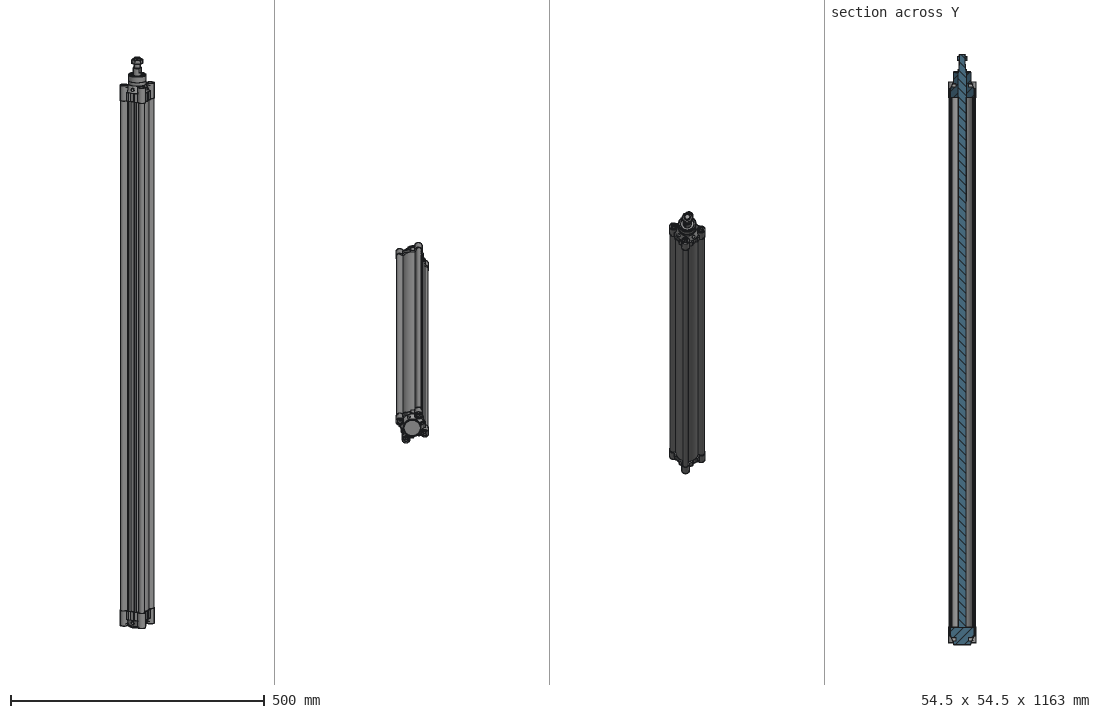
import cadquery as cq
import math


total_length = 1163.0
rear_collar_height = 4.0
cap_length = 31.0
front_face_below_tip = 54.0
rear_face_z = rear_collar_height
tube_start_z = rear_face_z + cap_length
front_face_z = total_length - front_face_below_tip
tube_end_z = front_face_z - cap_length

cap_width = 54.5
screw_pitch = 38.0
lobe_radius = 15.5 / 2
lobe_center = cap_width / 2 - lobe_radius
collar_diameter = 35.0
collar_chamfer = 1.5
boss_radius = 26.0
boss_groove_mouth_width = 12.4
boss_groove_floor_width = 6.4
boss_groove_depth = 2.0
boss_groove_mouth_x = math.sqrt(boss_radius**2 - (boss_groove_mouth_width / 2) ** 2)
boss_groove_floor_x = boss_groove_mouth_x - boss_groove_depth
cone_length = 13.5
cone_large_radius = boss_groove_floor_x
cone_small_radius = collar_diameter / 2

side_angles = (0, 90, 180, 270)
cushion_diameter = 6.2
cushion_from_face = 7.0
cushion_depth = 8.0
screw_thread_diameter = 4.92
screw_thread_depth = 16.0
screw_recess_diameter = 10.3
screw_recess_depth = 4.0

front_collar_height = 20.0
neck_height = 7.0
neck_diameter = 34.6
gland_recess_diameter = 26.0
gland_recess_depth = 2.0

bore_diameter = 40.0
tube_wall_radius = 22.9
rib_center = 20.8
rib_radius = 5.1
rib_web_width = 10.0
rail_radius = 25.0
rail_width = 17.8
groove_floor_radius = 21.4
groove_floor_width = 6.4
groove_mouth_width = 12.6
groove_flank_angle = 50.0

rod_diameter = 16.0
rod_thread_diameter = 12.0
rod_thread_length = 20.0
rod_thread_chamfer = 1.0
rod_shoulder_chamfer = 1.0
wrench_flats_width = 13.0
wrench_flats_end = 30.0
nut_across_flats = 19.0
nut_thickness = 8.0
nut_below_tip = 3.7
nut_corner_diameter = nut_across_flats / math.cos(math.pi / 6)


def cushion_hole(angle):
    """Radial cutter that sinks from the cone into one side of a cap."""
    cone_slope = (cone_large_radius - cone_small_radius) / cone_length
    floor_radius = cone_small_radius + cushion_from_face * cone_slope - cushion_depth
    cutter = (
        cq.Workplane("YZ", origin=(floor_radius, 0, cap_length - cushion_from_face))
        .circle(cushion_diameter / 2)
        .extrude(cap_width / 2 - floor_radius)
    )
    return cutter.rotate((0, 0, 0), (0, 0, 1), angle)


def boss_groove(angle):
    """Cutter for the lengthwise groove with sloping flanks along one side of a cap."""
    mouth_half = boss_groove_mouth_width / 2
    floor_half = boss_groove_floor_width / 2
    cutter = (
        cq.Workplane("XY")
        .polyline([
            (boss_radius, -mouth_half),
            (boss_groove_mouth_x, -mouth_half),
            (boss_groove_floor_x, -floor_half),
            (boss_groove_floor_x, floor_half),
            (boss_groove_mouth_x, mouth_half),
            (boss_radius, mouth_half),
        ])
        .close()
        .extrude(cap_length)
    )
    return cutter.rotate((0, 0, 0), (0, 0, 1), angle)


def end_cap():
    """Cap with its inner face at Z = 0 and its outer face at Z = cap_length."""
    cone_start = cap_length - cone_length
    core = (
        cq.Workplane("XZ")
        .polyline([
            (0, 0),
            (boss_radius, 0),
            (boss_radius, cone_start),
            (cone_large_radius, cone_start),
            (cone_small_radius, cap_length),
            (0, cap_length),
        ])
        .close()
        .revolve(360, (0, 0, 0), (0, 1, 0))
    )
    lobes = (
        cq.Workplane("XY")
        .rect(2 * lobe_center, 2 * lobe_center, forConstruction=True)
        .vertices()
        .circle(lobe_radius)
        .extrude(cap_length)
    )
    cap = core.union(lobes)
    for angle in side_angles:
        cap = cap.cut(boss_groove(angle)).cut(cushion_hole(angle))
    return (
        cap.faces(">Z").workplane(origin=(0, 0, cap_length))
        .rect(screw_pitch, screw_pitch, forConstruction=True)
        .vertices()
        .cboreHole(screw_thread_diameter, screw_recess_diameter, screw_recess_depth, screw_thread_depth)
    )


def front_cap():
    """Rod-side cap with its stepped collar, gland recess and rod bore."""
    collar_top = cap_length + front_collar_height
    neck = cq.Workplane("XY", origin=(0, 0, cap_length)).circle(neck_diameter / 2).extrude(neck_height)
    collar = (
        cq.Workplane("XY", origin=(0, 0, cap_length + neck_height))
        .circle(collar_diameter / 2)
        .extrude(front_collar_height - neck_height)
        .faces(">Z").chamfer(collar_chamfer)
    )
    recess = (
        cq.Workplane("XY", origin=(0, 0, collar_top - gland_recess_depth))
        .circle(gland_recess_diameter / 2)
        .extrude(gland_recess_depth)
    )
    rod_bore = cq.Workplane("XY").circle(rod_diameter / 2).extrude(collar_top)
    cap = end_cap().union(neck).union(collar).cut(recess).cut(rod_bore)
    return cap.translate((0, 0, tube_end_z))


def rear_cap():
    """Closed cap, turned so that its collar points down."""
    collar = (
        cq.Workplane("XY", origin=(0, 0, cap_length))
        .circle(collar_diameter / 2)
        .extrude(rear_collar_height)
        .faces(">Z").chamfer(collar_chamfer)
    )
    cap = end_cap().union(collar).rotate((0, 0, 0), (1, 0, 0), 180)
    return cap.translate((0, 0, tube_start_z))


def corner_ribs(length):
    """Four round beads at the tube corners, joined across the middle by two diagonal webs."""
    beads = (
        cq.Workplane("XY")
        .rect(2 * rib_center, 2 * rib_center, forConstruction=True)
        .vertices()
        .circle(rib_radius)
        .extrude(length)
    )
    web_length = 2 * math.hypot(rib_center, rib_center)
    web = cq.Workplane("XY").rect(web_length, rib_web_width).extrude(length)
    for angle in (45, 135):
        beads = beads.union(web.rotate((0, 0, 0), (0, 0, 1), angle))
    return beads


def rail(length):
    """Raised lip along the middle of the -Y side."""
    band = cq.Workplane("XY", origin=(0, -rail_radius / 2, 0)).rect(rail_width, rail_radius).extrude(length)
    return cq.Workplane("XY").circle(rail_radius).extrude(length).intersect(band)


def rail_groove(length):
    """Cutter for the flared groove along the rail; its floor is concentric with the bore."""
    floor_half = groove_floor_width / 2
    mouth_half = groove_mouth_width / 2
    floor_y = -math.sqrt(groove_floor_radius**2 - floor_half**2)
    flank_rise = (mouth_half - floor_half) * math.tan(math.radians(groove_flank_angle))
    mouth_y = floor_y - flank_rise
    return (
        cq.Workplane("XY")
        .moveTo(-floor_half, floor_y)
        .threePointArc((0, -groove_floor_radius), (floor_half, floor_y))
        .lineTo(mouth_half, mouth_y)
        .lineTo(mouth_half, -rail_radius)
        .lineTo(-mouth_half, -rail_radius)
        .lineTo(-mouth_half, mouth_y)
        .close()
        .extrude(length)
    )


def tube():
    """Extruded barrel: round wall, four corner ribs and the grooved rail on the -Y side."""
    length = tube_end_z - tube_start_z
    barrel = cq.Workplane("XY").circle(tube_wall_radius).extrude(length)
    barrel = barrel.union(corner_ribs(length))
    barrel = barrel.union(rail(length)).cut(rail_groove(length))
    bore = cq.Workplane("XY").circle(bore_diameter / 2).extrude(length)
    return barrel.cut(bore).translate((0, 0, tube_start_z))


def piston_rod():
    """Rod from the rear cap to the threaded tip, with two wrench flats facing -X and +X."""
    shoulder_z = total_length - rod_thread_length
    rod = (
        cq.Workplane("XY", origin=(0, 0, tube_start_z))
        .circle(rod_diameter / 2)
        .extrude(shoulder_z - tube_start_z)
        .faces(">Z").chamfer(rod_shoulder_chamfer)
    )
    flats_length = wrench_flats_end - rod_thread_length
    flat_depth = (rod_diameter - wrench_flats_width) / 2
    for side in (-1, 1):
        flat = cq.Workplane("XY").box(flat_depth, rod_diameter, flats_length)
        flat_x = side * (wrench_flats_width + flat_depth) / 2
        rod = rod.cut(flat.translate((flat_x, 0, shoulder_z - flats_length / 2)))
    thread = (
        cq.Workplane("XY", origin=(0, 0, shoulder_z))
        .circle(rod_thread_diameter / 2)
        .extrude(rod_thread_length)
        .faces(">Z").chamfer(rod_thread_chamfer)
    )
    return rod.union(thread)


def rod_nut():
    """Hexagon nut on the rod thread, corners on the Y axis, the upper rim chamfered at 30 degrees."""
    rim_drop = (nut_corner_diameter - nut_across_flats) / 2 * math.tan(math.pi / 6)
    nut = (
        cq.Workplane("XY")
        .polygon(6, nut_corner_diameter)
        .extrude(nut_thickness)
        .rotate((0, 0, 0), (0, 0, 1), 90)
    )
    envelope = (
        cq.Workplane("XZ")
        .polyline([
            (0, 0),
            (nut_corner_diameter / 2, 0),
            (nut_corner_diameter / 2, nut_thickness - rim_drop),
            (nut_across_flats / 2, nut_thickness),
            (0, nut_thickness),
        ])
        .close()
        .revolve(360, (0, 0, 0), (0, 1, 0))
    )
    hole = cq.Workplane("XY").circle(rod_thread_diameter / 2).extrude(nut_thickness)
    nut = nut.intersect(envelope).cut(hole)
    return nut.translate((0, 0, total_length - nut_below_tip - nut_thickness))


bodies = [rear_cap(), tube(), front_cap(), piston_rod(), rod_nut()]
result = cq.Compound.makeCompound([body.val() for body in bodies])